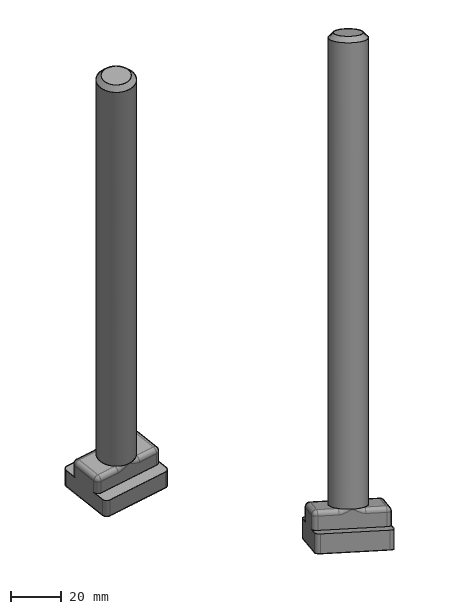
import math

import cadquery as cq

total_height = 208.0
head_width = 27.0
head_length = 32.0

shaft_diameter = 16.0
shaft_radius = shaft_diameter / 2
tip_chamfer = 2.0

base_height = 8.1
head_height = 16.0
neck_width = shaft_diameter
corner_radius = 2.0

runout_sections = 5
runout_tip = 0.2
runout_end = math.sqrt(shaft_radius**2 - (shaft_radius - corner_radius) ** 2)
runout_depth = 1.5 * corner_radius
runout_inner_x = shaft_radius / 2


def rounded_block(width, height):
    """Block centred on Z, standing on Z = 0, with rounded upright edges."""
    block = cq.Workplane("XY").box(width, head_length, height, centered=(True, True, False))
    return block.edges("|Z").fillet(corner_radius)


def make_shaft():
    shaft = cq.Workplane("XY").circle(shaft_radius).extrude(total_height)
    return shaft.faces(">Z").edges().chamfer(tip_chamfer)


def runout_section(y):
    """Section at y: an arc from the shaft circle on the neck top, tangent to the neck side."""
    side_x = neck_width / 2
    center_x = side_x - corner_radius
    shaft_x = math.sqrt(shaft_radius**2 - y**2)
    top_angle = math.acos((shaft_x - center_x) / corner_radius)
    center_z = head_height - corner_radius * math.sin(top_angle)
    arc_middle = cq.Vector(
        center_x + corner_radius * math.cos(top_angle / 2),
        y,
        center_z + corner_radius * math.sin(top_angle / 2),
    )
    arc_top = cq.Vector(shaft_x, y, head_height)
    arc_bottom = cq.Vector(side_x, y, center_z)
    lower_outer = cq.Vector(side_x, y, head_height - runout_depth)
    lower_inner = cq.Vector(runout_inner_x, y, head_height - runout_depth)
    upper_inner = cq.Vector(runout_inner_x, y, head_height)
    return cq.Wire.assembleEdges([
        cq.Edge.makeThreePointArc(arc_top, arc_middle, arc_bottom),
        cq.Edge.makeLine(arc_bottom, lower_outer),
        cq.Edge.makeLine(lower_outer, lower_inner),
        cq.Edge.makeLine(lower_inner, upper_inner),
        cq.Edge.makeLine(upper_inner, arc_top),
    ])


def make_runout():
    """Material beside the shaft on the +X, +Y quarter of the neck, with its sharp tip."""
    step = (runout_end - runout_tip) / (runout_sections - 1)
    sections = [runout_section(runout_tip + i * step) for i in range(runout_sections)]
    tip = cq.Solid.extrudeLinear(sections[0], [], cq.Vector(0, -runout_tip, 0))
    return cq.Workplane(cq.Solid.makeLoft(sections)).union(cq.Workplane(tip))


base = rounded_block(head_width, base_height)
neck = rounded_block(neck_width, head_height).faces(">Z").edges().fillet(corner_radius)
half_runout = make_runout()
side_runout = half_runout.union(half_runout.mirror("XZ"))
neck = neck.union(side_runout).union(side_runout.mirror("YZ"))

result = base.union(neck).union(make_shaft())